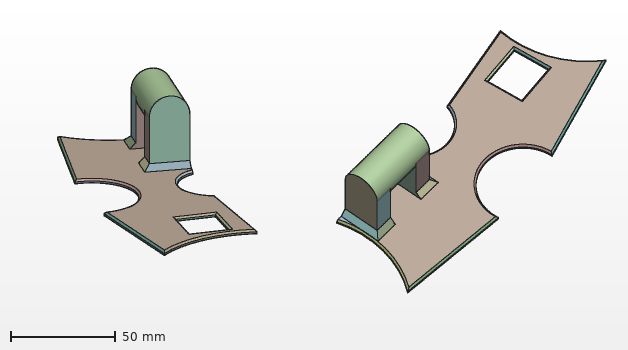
import cadquery as cq
import math

plate_thickness = 2.0
edge_chamfer = 1.0
half_width = 83.5
wing_tip_y = 10.9
back_corner = (69.0, 62.5)
side_arc_mid = (69.4, 36.8)
front_arch_half_width = 22.5
front_arch_depth = 23.9
notch_corner = (17.5, 58.0)
notch_bottom_y = 45.5

window_center = (52.1, 40.5)
window_size = (22.5, 20.0)

total_height = 39.0
bar_diameter = 20.0
bar_length = 39.3
leg_length = 10.0
notch_to_handle = 6.0
foot_flare = 3.0

bar_radius = bar_diameter / 2
bar_axis_z = total_height - bar_radius


def mirrored(point):
    """Reflect a plan point to the left half of the plate."""
    return (-point[0], point[1])


def on_left_back_edge(edge):
    """True for the straight edge that carries the handle."""
    center = edge.Center()
    middle_x = -(back_corner[0] + notch_corner[0]) / 2
    middle_y = (back_corner[1] + notch_corner[1]) / 2
    return math.hypot(center.x - middle_x, center.y - middle_y) < edge_chamfer


def make_plate():
    """Butterfly plate with a chamfered rim, plain under the handle."""
    wing_tip = (half_width, wing_tip_y)
    arch_end = (front_arch_half_width, 0)
    blank = (
        cq.Workplane("XY")
        .moveTo(*mirrored(arch_end))
        .threePointArc((0, front_arch_depth), arch_end)
        .lineTo(*wing_tip)
        .threePointArc(side_arc_mid, back_corner)
        .lineTo(*notch_corner)
        .threePointArc((0, notch_bottom_y), mirrored(notch_corner))
        .lineTo(*mirrored(back_corner))
        .threePointArc(mirrored(side_arc_mid), mirrored(wing_tip))
        .close()
        .extrude(plate_thickness)
    )
    window = (
        cq.Workplane("XY")
        .center(*window_center)
        .rect(*window_size)
        .extrude(plate_thickness)
    )
    plate = blank.cut(window)
    rim = [edge for edge in plate.faces(">Z").edges().vals() if not on_left_back_edge(edge)]
    return plate.newObject(rim).chamfer(edge_chamfer)


def make_leg(outer_side):
    """Leg at one bar end, flared at its outer and front sides; back face at Y = 0."""
    outer_x = outer_side * bar_length / 2
    inner_x = outer_x - outer_side * leg_length

    def section(flare):
        flared_x = outer_x + outer_side * flare
        front_y = -bar_diameter - flare
        return [(inner_x, 0), (flared_x, 0), (flared_x, front_y), (inner_x, front_y)]

    base = cq.Workplane("XY").workplane(offset=plate_thickness)
    foot = (
        base.polyline(section(foot_flare)).close()
        .workplane(offset=foot_flare)
        .polyline(section(0)).close()
        .loft(ruled=True)
    )
    post = base.polyline(section(0)).close().extrude(bar_axis_z - plate_thickness)
    return post.union(foot)


def make_handle():
    """Round bar on two legs, turned to follow the plate's back edge."""
    bar = (
        cq.Workplane("YZ", origin=(-bar_length / 2, 0, 0))
        .center(-bar_radius, bar_axis_z)
        .circle(bar_radius)
        .extrude(bar_length)
    )
    handle = bar.union(make_leg(-1)).union(make_leg(1))

    slant = math.atan2(back_corner[1] - notch_corner[1], back_corner[0] - notch_corner[0])
    reach = notch_to_handle + bar_length / 2
    middle_x = -notch_corner[0] - reach * math.cos(slant)
    middle_y = notch_corner[1] + reach * math.sin(slant)
    return (
        handle.rotate((0, 0, 0), (0, 0, 1), -math.degrees(slant))
        .translate((middle_x, middle_y, 0))
    )


result = make_plate().union(make_handle())